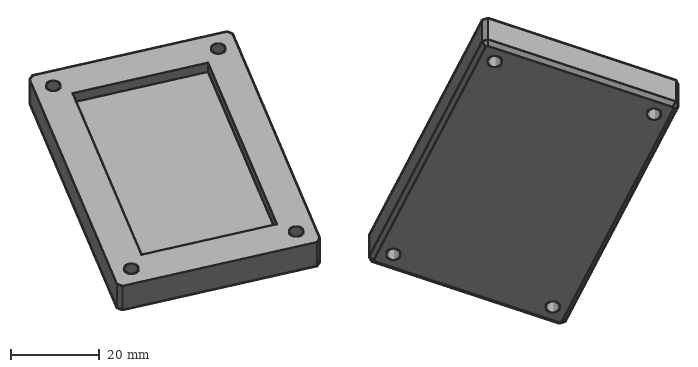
import cadquery as cq

length = 68.5
width = 48.0
height = 9.0
edge_chamfer = 1.0

side_wall = 8.0
pocket_length = length - 2 * side_wall
pocket_width = width - 2 * side_wall
pocket_depth = 3.0

hole_diameter = 3.2
hole_inset = 4.5
hole_spacing_x = length - 2 * hole_inset
hole_spacing_y = width - 2 * hole_inset

block = cq.Workplane("XY").box(length, width, height, centered=(True, True, False))
block = block.edges("|Z").chamfer(edge_chamfer)
block = block.faces("<Z").edges().chamfer(edge_chamfer)

pocket = (
    cq.Workplane("XY")
    .workplane(offset=height - pocket_depth)
    .rect(pocket_length, pocket_width)
    .extrude(pocket_depth)
)

holes = (
    cq.Workplane("XY")
    .rect(hole_spacing_x, hole_spacing_y, forConstruction=True)
    .vertices()
    .circle(hole_diameter / 2)
    .extrude(height)
)

result = block.cut(pocket).cut(holes)